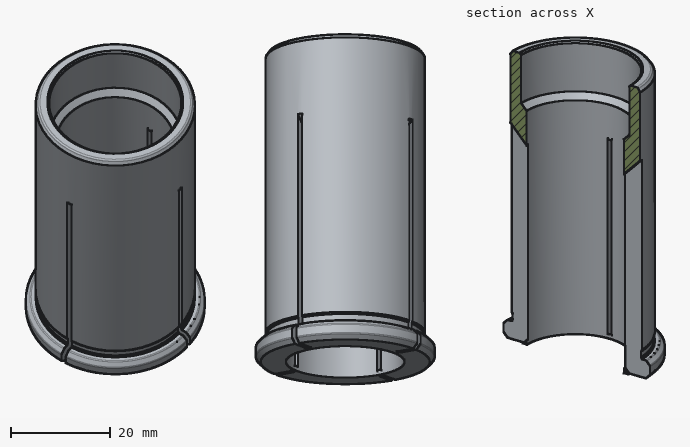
import cadquery as cq

HEIGHT = 64.0
BODY_RADIUS = 32.0 / 2
FLANGE_RADIUS = 36.0 / 2
BORE_RADIUS = 23.8 / 2
COUNTERBORE_RADIUS = 26.5 / 2

FLANGE_HEIGHT = 4.0
FLANGE_BOTTOM_CHAMFER = 1.0
FLANGE_TOP_CHAMFER = 0.95
GROOVE_DEPTH = 0.2
GROOVE_TAPER = 0.4
GROOVE_TOP = 6.0

COUNTERBORE_DEPTH = 11.0
MOUTH_CHAMFER = 0.4
RIM_CHAMFER_WIDTH = 0.65
RIM_CHAMFER_HEIGHT = 0.9

RIM_FILLET = 0.5
FLANGE_FILLET = 0.4
EDGE_SEARCH_MARGIN = 0.05

SLOT_COUNT = 4
SLOT_WIDTH = 1.0
SLOT_TOP = 48.0
SLOT_BOTTOM_LIP = 1.0


def make_sleeve():
    """Revolve the wall section, with radius along X and height along Z."""
    groove_radius = BODY_RADIUS - GROOVE_DEPTH
    ledge_top = HEIGHT - COUNTERBORE_DEPTH
    ledge_height = COUNTERBORE_RADIUS - BORE_RADIUS
    section = [
        (BORE_RADIUS, 0),
        (FLANGE_RADIUS - FLANGE_BOTTOM_CHAMFER, 0),
        (FLANGE_RADIUS, FLANGE_BOTTOM_CHAMFER),
        (FLANGE_RADIUS, FLANGE_HEIGHT - FLANGE_TOP_CHAMFER),
        (FLANGE_RADIUS - FLANGE_TOP_CHAMFER, FLANGE_HEIGHT),
        (BODY_RADIUS, FLANGE_HEIGHT),
        (groove_radius, FLANGE_HEIGHT + GROOVE_TAPER),
        (groove_radius, GROOVE_TOP - GROOVE_TAPER),
        (BODY_RADIUS, GROOVE_TOP),
        (BODY_RADIUS, HEIGHT - RIM_CHAMFER_HEIGHT),
        (BODY_RADIUS - RIM_CHAMFER_WIDTH, HEIGHT),
        (COUNTERBORE_RADIUS + MOUTH_CHAMFER, HEIGHT),
        (COUNTERBORE_RADIUS, HEIGHT - MOUTH_CHAMFER),
        (COUNTERBORE_RADIUS, ledge_top),
        (BORE_RADIUS, ledge_top - ledge_height),
    ]
    return cq.Workplane("XZ").polyline(section).close().revolve(360, (0, 0, 0), (0, 1, 0))


def round_edge(solid, radius, height, fillet):
    """Round the circular edge found at the given radius and height."""
    margin = EDGE_SEARCH_MARGIN
    selector = cq.selectors.BoxSelector(
        (-radius - margin, -radius - margin, height - margin),
        (radius + margin, radius + margin, height + margin),
        boundingbox=True,
    )
    rings = solid.edges("%CIRCLE").edges(selector)
    outer_ring = rings.sort(lambda edge: -edge.radius())[0]
    return outer_ring.fillet(fillet)


def round_outer_edges(sleeve):
    """Soften the rim and both ends of the flange's cylindrical band."""
    band_top = FLANGE_HEIGHT - FLANGE_TOP_CHAMFER
    sleeve = round_edge(sleeve, BODY_RADIUS - RIM_CHAMFER_WIDTH, HEIGHT, RIM_FILLET)
    for height in (FLANGE_BOTTOM_CHAMFER, band_top):
        sleeve = round_edge(sleeve, FLANGE_RADIUS, height, FLANGE_FILLET)
    return round_edge(sleeve, FLANGE_RADIUS - FLANGE_TOP_CHAMFER, FLANGE_HEIGHT, FLANGE_FILLET)


def make_slot_cutter():
    """Slot on the +X side; its ends slope so that it gets shorter inward."""
    inner = BORE_RADIUS - 0.65
    outer = FLANGE_RADIUS + 0.65
    side = [
        (inner, SLOT_BOTTOM_LIP + BORE_RADIUS - inner),
        (outer, SLOT_BOTTOM_LIP + BORE_RADIUS - outer),
        (outer, SLOT_TOP + outer - BODY_RADIUS),
        (inner, SLOT_TOP + inner - BODY_RADIUS),
    ]
    return cq.Workplane("XZ").polyline(side).close().extrude(SLOT_WIDTH / 2, both=True)


result = round_outer_edges(make_sleeve())
slot_cutter = make_slot_cutter()
for index in range(SLOT_COUNT):
    angle = index * 360 / SLOT_COUNT
    result = result.cut(slot_cutter.rotate((0, 0, 0), (0, 0, 1), angle))